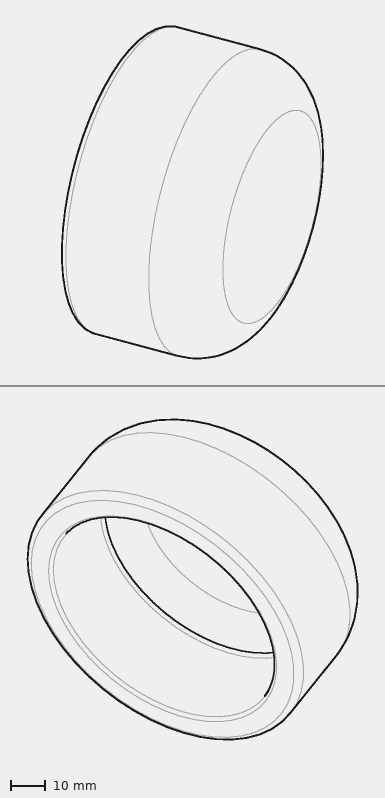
import cadquery as cq
import math

length = 48.0
outer_radius = 45.5
rim_outer_fillet = 2.0

dome_radius = 180.0
corner_radius = 17.0

bore_radius = 36.75
bore_depth = 28.75
bore_fillet = 1.0
bowl_radius = bore_radius - bore_fillet
bowl_corner_radius = 9.0

dome_center_x = length - dome_radius
corner_center_r = outer_radius - corner_radius
corner_center_x = dome_center_x + math.sqrt((dome_radius - corner_radius) ** 2 - corner_center_r**2)

bowl_corner_center_r = bowl_radius - bowl_corner_radius
floor_radius = bowl_corner_radius + math.hypot(bore_depth - dome_center_x, bowl_corner_center_r)


def on_circle(center_x, center_r, radius, angle):
    """Point (x, r) on a circle, with the angle measured from +X toward increasing radius."""
    return (center_x + radius * math.cos(angle), center_r + radius * math.sin(angle))


def corner_points(center_x, center_r, corner_r, sphere_radius):
    """Start, middle and end of a corner arc running from the axial wall to the sphere."""
    wall_angle = math.pi / 2
    tangent_angle = math.asin(center_r / (sphere_radius - corner_r))
    middle_angle = (wall_angle + tangent_angle) / 2
    angles = (wall_angle, middle_angle, tangent_angle)
    return [on_circle(center_x, center_r, corner_r, angle) for angle in angles]


def dome_points(sphere_radius, edge_r):
    """Middle and apex of a spherical arc running from its edge radius to the axis."""
    middle_angle = math.asin(edge_r / sphere_radius) / 2
    return [on_circle(dome_center_x, 0, sphere_radius, angle) for angle in (middle_angle, 0)]


def quarter_middle(center_x, center_r, radius, x_side, r_side):
    """Middle of a quarter-circle fillet lying on the given sides of its centre."""
    reach = radius / math.sqrt(2)
    return (center_x + x_side * reach, center_r + r_side * reach)


def make_body():
    """Solid outer form, revolved about X."""
    start, middle, edge = corner_points(corner_center_x, corner_center_r, corner_radius, dome_radius)
    dome_middle, apex = dome_points(dome_radius, edge[1])
    rim_r = outer_radius - rim_outer_fillet
    profile = (
        cq.Workplane("XY")
        .moveTo(0, 0)
        .lineTo(0, rim_r)
        .threePointArc(
            quarter_middle(rim_outer_fillet, rim_r, rim_outer_fillet, -1, 1),
            (rim_outer_fillet, outer_radius),
        )
        .lineTo(*start)
        .threePointArc(middle, edge)
        .threePointArc(dome_middle, apex)
        .close()
    )
    return profile.revolve(360, (0, 0, 0), (1, 0, 0))


def make_cavity():
    """Bore with rounded mouth and bottom, followed by the bowl."""
    start, middle, edge = corner_points(
        bore_depth, bowl_corner_center_r, bowl_corner_radius, floor_radius
    )
    floor_middle, floor_apex = dome_points(floor_radius, edge[1])
    mouth_r = bore_radius + bore_fillet
    bottom_x = bore_depth - bore_fillet
    profile = (
        cq.Workplane("XY")
        .moveTo(0, 0)
        .lineTo(0, mouth_r)
        .threePointArc(
            quarter_middle(bore_fillet, mouth_r, bore_fillet, -1, -1),
            (bore_fillet, bore_radius),
        )
        .lineTo(bottom_x, bore_radius)
        .threePointArc(
            quarter_middle(bottom_x, bowl_radius, bore_fillet, 1, 1),
            start,
        )
        .threePointArc(middle, edge)
        .threePointArc(floor_middle, floor_apex)
        .close()
    )
    return profile.revolve(360, (0, 0, 0), (1, 0, 0))


result = make_body().cut(make_cavity())